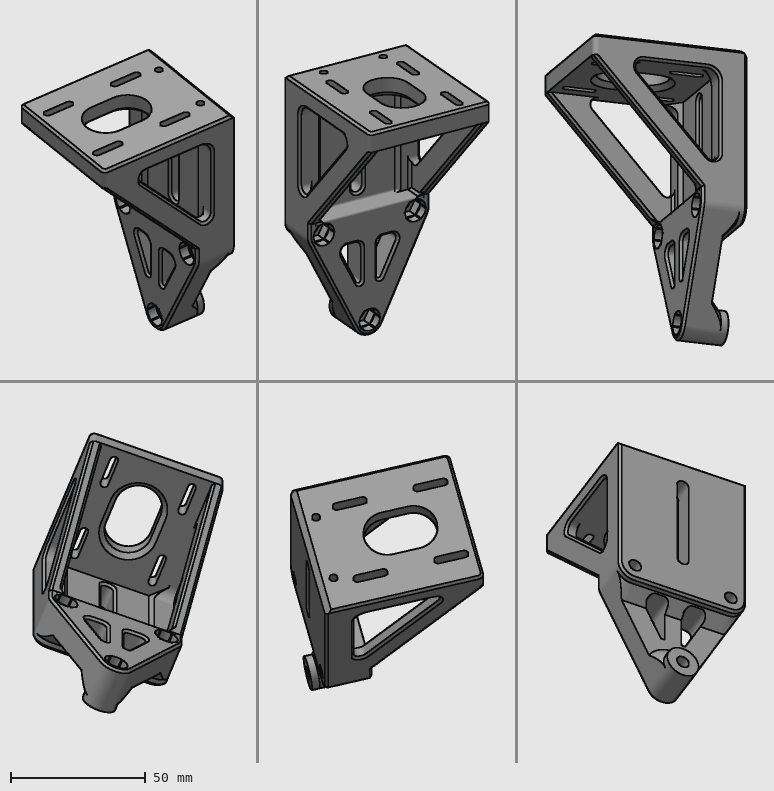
import cadquery as cq
import math


width = 53.0
top_depth = 61.0
height = 106.8
edge_chamfer = 1.0
rear_top_chamfer = 2.3
front_corner_radius = 2.0

plate_thickness = 8.0
slot_width = 3.0
slot_travel = 10.0
slot_spacing = 31.0
plate_pattern_depth = 35.6
shaft_opening_width = 17.8
shaft_opening_flare = 2.0
pilot_diameter = 3.0
pilot_spacing = 26.1
pilot_depth = 6.5
pilot_length = 10.0

leg_depth = 18.0
leg_web_rear = 8.0
boss_radius = 6.5
bolt_half_spacing = width / 2 - boss_radius
bolt_spacing = 2 * bolt_half_spacing
boss_length = 3.0
bolt_hole = 5.0
head_bore = 9.0
head_bore_length = 4.0
nut_flats = 8.0
nut_pocket_length = 8.0
lower_bolt_drop = height - boss_radius
upper_bolt_drop = lower_bolt_drop - bolt_spacing
bolt_points = [
    (-bolt_half_spacing, -upper_bolt_drop),
    (bolt_half_spacing, -upper_bolt_drop),
    (0, -lower_bolt_drop),
]

shelf_drop = 54.8
cavity_half_width = 22.0
cavity_rear = 9.4
cavity_rear_half_width = 16.2
shelf_fillet = 1.0

strut_width = 9.6
side_window_rear = 11.0
side_window_radii = (5.0, 3.0, 2.8)
leg_rim_width = 9.1
leg_window_inner = 3.4
leg_window_top = 67.4
leg_window_radii = (2.5, 2.5, 1.0)

rear_slot_width = 4.8
rear_slot_top = 10.5
rear_slot_bottom = 51.6

strut_slope = (shelf_drop - plate_thickness) / (top_depth - leg_depth)
strut_middle_depth = (top_depth + leg_depth) / 2
strut_middle_drop = (plate_thickness + shelf_drop) / 2
flank_tilt = math.atan2(bolt_half_spacing, bolt_spacing)


def front_plane(depth):
    """Workplane facing forward at a depth; local x, y are X, Z and extruding runs forward."""
    return cq.Workplane("XZ", origin=(0, -depth, 0))


def side_plane(x):
    """Workplane facing +X; local x, y are Y, Z."""
    return cq.Workplane("YZ", origin=(x, 0, 0))


def box(x_range, depth_range, drop_range):
    """Block between two X places, two depths and two drops."""
    x0, x1 = x_range
    d0, d1 = depth_range
    z0, z1 = drop_range
    return cq.Workplane("XY").box(x1 - x0, d1 - d0, z1 - z0, centered=False).translate((x0, -d1, -z1))


def rounded_prism(plane, corners, radii, length):
    """Prism along the plane normal whose lengthwise edges are rounded, one radius per corner."""
    prism = plane.polyline(corners).close().extrude(length)
    for corner, radius in zip(corners, radii):
        start = plane.plane.toWorldCoords(corner)
        middle = start + plane.plane.zDir * (length / 2)
        prism = prism.edges(cq.selectors.NearestToPointSelector(middle.toTuple())).fillet(radius)
    return prism


def side_profile():
    """Plate, struts and leg as one full-width prism, starting in front of the rear layer."""
    profile = [
        (-boss_length, 0),
        (-top_depth, 0),
        (-top_depth, -plate_thickness),
        (-leg_depth, -shelf_drop),
        (-leg_depth, -height),
        (-boss_length, -height),
    ]
    return side_plane(-width / 2).polyline(profile).close().extrude(width)


def bracket_blank():
    """Side profile trimmed by the front outline, which wraps the three bolt bosses."""
    def on_boss(center_x, center_drop, angle):
        return (center_x + boss_radius * math.cos(angle), -center_drop + boss_radius * math.sin(angle))

    def mirrored(point):
        return (-point[0], point[1])

    shoulder = on_boss(bolt_half_spacing, upper_bolt_drop, 0)
    shoulder_middle = on_boss(bolt_half_spacing, upper_bolt_drop, -flank_tilt / 2)
    flank_start = on_boss(bolt_half_spacing, upper_bolt_drop, -flank_tilt)
    flank_end = on_boss(0, lower_bolt_drop, -flank_tilt)
    outline = (
        front_plane(0)
        .moveTo(-width / 2, 0)
        .lineTo(width / 2, 0)
        .lineTo(*shoulder)
        .threePointArc(shoulder_middle, flank_start)
        .lineTo(*flank_end)
        .threePointArc((0, -height), mirrored(flank_end))
        .lineTo(*mirrored(flank_start))
        .threePointArc(mirrored(shoulder_middle), mirrored(shoulder))
        .close()
        .extrude(top_depth)
    )
    return side_profile().intersect(outline)


def rear_layer():
    """Upper pad with rounded lower corners and the round lower boss, both reaching the rear face."""
    pad_bottom = upper_bolt_drop + boss_radius
    pad = box((-width / 2, width / 2), (0, boss_length), (0, pad_bottom))
    pad = pad.edges("|Y and <Z").fillet(boss_radius)
    lower_boss = front_plane(0).center(0, -lower_bolt_drop).circle(boss_radius).extrude(boss_length)
    return pad.union(lower_boss)


def leg_relief():
    """Space behind the leg web, leaving 45 degree flanks under the upper pad and around the bosses."""
    flare = leg_web_rear - boss_length
    pad_bottom = upper_bolt_drop + boss_radius
    relief = box((-width, width), (boss_length, leg_web_rear), (upper_bolt_drop, height + 1.1))
    pad_profile = [
        (-boss_length, 0),
        (-boss_length, -pad_bottom),
        (-leg_web_rear, -pad_bottom - flare),
        (-leg_web_rear, 0),
    ]
    pad = side_plane(-bolt_half_spacing).polyline(pad_profile).close().extrude(bolt_spacing)
    relief = relief.cut(pad)
    for x, z in bolt_points:
        apex = cq.Vector(x, -boss_length, z)
        cone = cq.Solid.makeCone(boss_radius, boss_radius + flare, flare, apex, cq.Vector(0, -1, 0))
        relief = relief.cut(cq.Workplane(cone))
    return relief


def cavity():
    """Space between the side walls, with 45 degree rear corners and a filleted shelf."""
    front = 2 * top_depth
    corner_depth = cavity_rear + cavity_half_width - cavity_rear_half_width
    plan = [
        (-cavity_rear_half_width, -cavity_rear),
        (cavity_rear_half_width, -cavity_rear),
        (cavity_half_width, -corner_depth),
        (cavity_half_width, -front),
        (-cavity_half_width, -front),
        (-cavity_half_width, -corner_depth),
    ]
    space = cq.Workplane("XY", origin=(0, 0, -shelf_drop)).polyline(plan).close()
    space = space.extrude(shelf_drop - plate_thickness)
    rear_floor = cq.selectors.BoxSelector(
        (-cavity_half_width, -corner_depth, -shelf_drop - 1.1),
        (cavity_half_width, 0, -shelf_drop + 1.1),
    )
    return space.edges(rear_floor).fillet(shelf_fillet)


def side_recess():
    """Flat strips in the cavity corners, level with the rear edge of the side windows."""
    chamfer_depth = side_window_rear + edge_chamfer
    chamfer_x = cavity_half_width - edge_chamfer
    plan = [
        (-chamfer_x, -side_window_rear),
        (chamfer_x, -side_window_rear),
        (cavity_half_width, -chamfer_depth),
        (cavity_half_width, -leg_depth),
        (-cavity_half_width, -leg_depth),
        (-cavity_half_width, -chamfer_depth),
    ]
    recess_height = shelf_drop - plate_thickness - side_window_radii[0]
    return cq.Workplane("XY", origin=(0, 0, -shelf_drop)).polyline(plan).close().extrude(recess_height)


def shelf_gussets():
    """45 degree fills where the shelf meets the side walls, running out to the sloped strut faces."""
    corner_x = cavity_half_width + 1.5 * edge_chamfer
    corner_drop = shelf_drop + 1.5 * edge_chamfer
    leg = 4 * edge_chamfer
    triangle = [
        (corner_x, -corner_drop),
        (corner_x, -corner_drop + leg),
        (corner_x - leg, -corner_drop),
    ]
    gusset = front_plane(side_window_rear).polyline(triangle).close().extrude(top_depth)
    gusset = gusset.intersect(side_profile())
    return gusset.union(gusset.mirror("YZ"))


def side_window():
    """Triangular opening through both side walls, leaving a parallel strut along the sloped edge."""
    strut_drop = strut_width * math.hypot(1, strut_slope)
    bottom = shelf_drop + strut_slope * (leg_depth - side_window_rear) - strut_drop
    front = side_window_rear + (bottom - plate_thickness) / strut_slope
    corners = [
        (-side_window_rear, -plate_thickness),
        (-front, -plate_thickness),
        (-side_window_rear, -bottom),
    ]
    return rounded_prism(side_plane(-width / 2), corners, side_window_radii, width)


def leg_window():
    """Triangular opening on the +X side of the leg, parallel to the flank."""
    inset = (leg_rim_width - boss_radius) / math.cos(flank_tilt)
    run = math.tan(flank_tilt)
    outer = (lower_bolt_drop - leg_window_top) * run - inset
    bottom = leg_window_top + (outer - leg_window_inner) / run
    corners = [
        (leg_window_inner, -leg_window_top),
        (outer, -leg_window_top),
        (leg_window_inner, -bottom),
    ]
    return rounded_prism(front_plane(0), corners, leg_window_radii, leg_depth)


def plate_openings():
    """Shaft opening flared on the underside, four adjustment slots and two blind pilot holes."""
    top = cq.Workplane("XY")
    flared_width = shaft_opening_width + 2 * shaft_opening_flare
    shaft = (
        top.workplane(offset=-plate_thickness)
        .center(0, -plate_pattern_depth)
        .slot2D(flared_width + slot_travel, flared_width, 90)
        .extrude(shaft_opening_flare, taper=45)
        .faces(">Z").wires().toPending()
        .extrude(plate_thickness - shaft_opening_flare)
    )
    slots = (
        top.center(0, -plate_pattern_depth)
        .rarray(slot_spacing, slot_spacing, 2, 2)
        .slot2D(slot_width + slot_travel, slot_width, 90)
        .extrude(-plate_thickness)
    )
    pilots = (
        top.center(0, -pilot_depth)
        .rarray(pilot_spacing, 1.1, 2, 1)
        .circle(pilot_diameter / 2)
        .extrude(-pilot_length)
    )
    return shaft.union(slots).union(pilots)


def rear_slot():
    """Upright slot through the rear wall."""
    length = rear_slot_bottom - rear_slot_top
    return (
        front_plane(0)
        .center(0, -(rear_slot_top + rear_slot_bottom) / 2)
        .slot2D(length, rear_slot_width, 90)
        .extrude(cavity_rear)
    )


def bolt_holes():
    """Through holes with a round bore at the front and a hexagonal pocket behind it."""
    front = front_plane(leg_depth).pushPoints(bolt_points)
    nut_corners = nut_flats / math.cos(math.pi / 6)
    through = front.circle(bolt_hole / 2).extrude(-leg_depth)
    bore = front.circle(head_bore / 2).extrude(-head_bore_length)
    pocket = front.polygon(6, nut_corners).extrude(-nut_pocket_length)
    return through.union(bore).union(pocket)


def nearest(x, depth, drop):
    """Selector for the face or edge whose centre is closest to a point."""
    return cq.selectors.NearestToPointSelector((x, -depth, -drop))


def chamfer_outside(body):
    """Bevel the outer rims of the rear pad, the struts and the front of the leg."""
    pad_rim = body.faces(nearest(0, 0, upper_bolt_drop / 2)).edges("not >Z")
    strut_rims = body.faces(nearest(0, strut_middle_depth, strut_middle_drop)).edges("<X or >X")
    leg_rim = body.faces(nearest(0, leg_depth, lower_bolt_drop)).edges("not >Z")
    return pad_rim.add(strut_rims).add(leg_rim).chamfer(edge_chamfer)


def chamfer_cavity_mouth(body):
    """Bevel the inner edges of both struts and round the front edge of the shelf."""
    for x in (-cavity_half_width, cavity_half_width):
        body = body.edges(nearest(x, strut_middle_depth, strut_middle_drop)).chamfer(edge_chamfer)
    return body.edges(nearest(0, leg_depth, shelf_drop)).fillet(shelf_fillet)


def chamfer_openings(body, face_selector):
    """Bevel the rims of the openings that lie inside one flat face."""
    wires = body.faces(face_selector).val().innerWires()
    rims = [edge for wire in wires for edge in wire.Edges()]
    return body.newObject(rims).chamfer(edge_chamfer)


body = bracket_blank().cut(leg_relief()).union(rear_layer()).clean()
body = body.edges(">Y and >Z").chamfer(rear_top_chamfer)
body = chamfer_outside(body)
body = body.edges("|Z and <Y").fillet(front_corner_radius)
body = body.faces(">Z").edges("not >Y").chamfer(edge_chamfer)
body = chamfer_cavity_mouth(body.cut(cavity()))

body = body.cut(rear_slot()).cut(leg_window()).cut(leg_window().mirror("YZ"))
body = chamfer_openings(body, nearest(0, cavity_rear, shelf_drop / 2))
body = chamfer_openings(body, nearest(0, leg_depth, leg_window_top))

body = body.cut(side_recess().union(side_window()).clean())
body = body.union(shelf_gussets()).clean()
body = chamfer_openings(body, "<X")
body = chamfer_openings(body, ">X")

result = body.cut(plate_openings()).cut(bolt_holes())